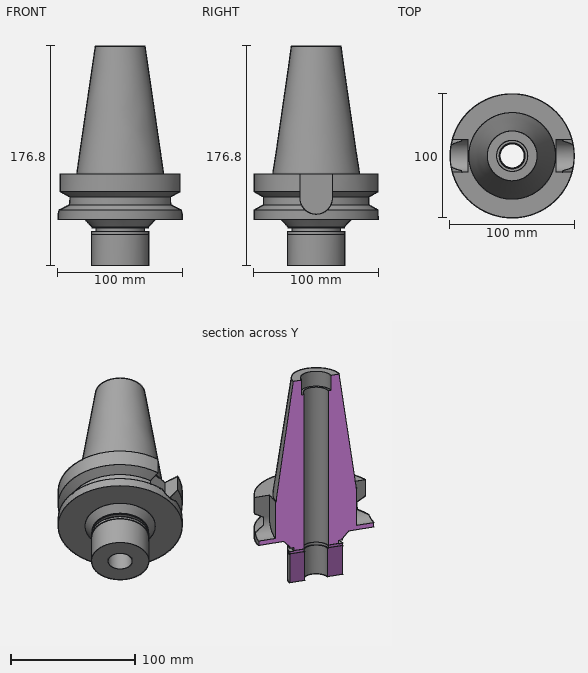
import cadquery as cq

TOTAL_HEIGHT = 176.8
NUT_TOP = 25.3
RING_TOP = 27.5
RIM_BOTTOM = 30.2
RIM_TOP = 31.3
FLANGE_BOTTOM = 37.1
FLANGE_TOP = 73.9
LOWER_BAND_HEIGHT = 7.6
UPPER_BAND_HEIGHT = 14.3
GROOVE_BEVEL_HEIGHT = 4.2
COLLAR_HEIGHT = 1.0

FLANGE_RADIUS = 50.0
GROOVE_RADIUS = 42.6
TAPER_BASE_RADIUS = 34.92
TAPER_DIAMETER_RATIO = 7 / 24
SHOULDER_RADIUS = 28.3
RIM_RADIUS = 22.8
NECK_RADIUS = 19.6
NUT_RADIUS = 23.2
NUT_CHAMFER = 0.4

BORE_RADIUS = 10.5
COUNTERBORE_RADIUS = 12.5
COUNTERBORE_DEPTH = 13.0
NUT_BORE_RADIUS = 9.7

SLOT_WIDTH = 26.2
SLOT_FLOOR_X = 35.4
SLOT_BOTTOM = 41.4


def make_holder():
    """Tapered shank, grooved flange and neck, with a stepped through bore."""
    taper_base = FLANGE_TOP + COLLAR_HEIGHT
    taper_top_radius = TAPER_BASE_RADIUS - (TOTAL_HEIGHT - taper_base) * TAPER_DIAMETER_RATIO / 2
    lower_band_top = FLANGE_BOTTOM + LOWER_BAND_HEIGHT
    upper_band_bottom = FLANGE_TOP - UPPER_BAND_HEIGHT
    counterbore_floor = TOTAL_HEIGHT - COUNTERBORE_DEPTH
    profile = [
        (BORE_RADIUS, RING_TOP),
        (NECK_RADIUS, RING_TOP),
        (NECK_RADIUS, RIM_BOTTOM),
        (RIM_RADIUS, RIM_BOTTOM),
        (RIM_RADIUS, RIM_TOP),
        (SHOULDER_RADIUS, FLANGE_BOTTOM),
        (FLANGE_RADIUS, FLANGE_BOTTOM),
        (FLANGE_RADIUS, lower_band_top),
        (GROOVE_RADIUS, lower_band_top + GROOVE_BEVEL_HEIGHT),
        (GROOVE_RADIUS, upper_band_bottom - GROOVE_BEVEL_HEIGHT),
        (FLANGE_RADIUS, upper_band_bottom),
        (FLANGE_RADIUS, FLANGE_TOP),
        (TAPER_BASE_RADIUS, FLANGE_TOP),
        (TAPER_BASE_RADIUS, taper_base),
        (taper_top_radius, TOTAL_HEIGHT),
        (COUNTERBORE_RADIUS, TOTAL_HEIGHT),
        (COUNTERBORE_RADIUS, counterbore_floor),
        (BORE_RADIUS, counterbore_floor),
    ]
    holder = cq.Workplane("XZ").polyline(profile).close().revolve(360, (0, 0), (0, 1))
    for side in (-1, 1):
        holder = holder.cut(make_slot_cutter(side))
    return holder


def make_slot_cutter(side):
    """Round-bottomed slot volume, open outward and upward; side is -1 or +1 along X."""
    half_width = SLOT_WIDTH / 2
    arc_center = SLOT_BOTTOM + half_width
    return (
        cq.Workplane("YZ", origin=(side * SLOT_FLOOR_X, 0, 0))
        .moveTo(-half_width, FLANGE_TOP)
        .lineTo(-half_width, arc_center)
        .threePointArc((0, SLOT_BOTTOM), (half_width, arc_center))
        .lineTo(half_width, FLANGE_TOP)
        .close()
        .extrude(side * (FLANGE_RADIUS - SLOT_FLOOR_X))
    )


def make_sleeve(bottom, top, bore_radius):
    """Plain cylinder of the nut's outer radius with a through bore."""
    return (
        cq.Workplane("XY", origin=(0, 0, bottom))
        .circle(NUT_RADIUS)
        .circle(bore_radius)
        .extrude(top - bottom)
    )


def make_ring():
    """Thin ring between the holder neck and the nut."""
    return make_sleeve(NUT_TOP, RING_TOP, BORE_RADIUS)


def make_nut():
    """Clamping nut with its upper outer edge chamfered."""
    nut = make_sleeve(0, NUT_TOP, NUT_BORE_RADIUS)
    return nut.faces(">Z").edges(cq.selectors.RadiusNthSelector(-1)).chamfer(NUT_CHAMFER)


holder = make_holder()
ring = make_ring()
nut = make_nut()

result = cq.Compound.makeCompound([holder.val(), ring.val(), nut.val()])